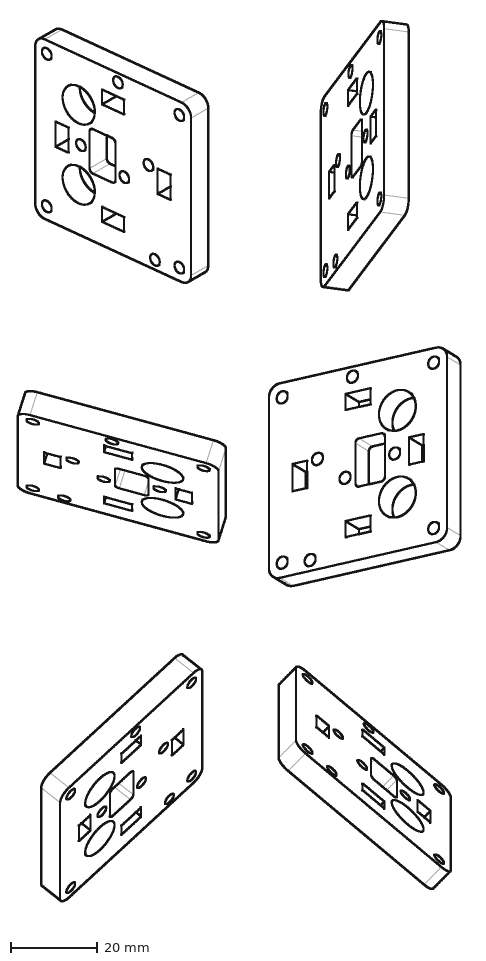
import cadquery as cq

plate_side = 48.5
plate_thickness = 6.0
corner_radius = 3.0

screw_diameter = 3.0
corner_hole_offset = 20.6
corner_holes = [
    (side_x * corner_hole_offset, side_z * corner_hole_offset)
    for side_x in (-1, 1)
    for side_z in (-1, 1)
]
top_edge_hole = (1.5, 21.75)
bottom_edge_hole = (13.0, -21.55)
inner_holes = [(-10.0, 0.2), (3.5, -3.05), (11.0, 3.25)]

port_diameter = 10.0
port_x = -10.7
port_z = 10.8

slot_length = 6.8
slot_width = 4.0
slot_offset = 15.85

window_width = 8.0
window_height = 12.0
window_x = -3.3
window_corner_radius = 1.0


def block(width, height, x=0, z=0):
    """Box through the plate thickness, centred at (x, z)."""
    return cq.Workplane("XY").box(width, plate_thickness, height).translate((x, 0, z))


def rounded_block(width, height, radius, x=0, z=0):
    """Block whose four edges along Y are rounded."""
    return block(width, height, x, z).edges("|Y").fillet(radius)


def cut_round_holes(body, points, diameter):
    """Drill through holes along Y at the given (x, z) points."""
    drills = (
        cq.Workplane("XZ", origin=(0, plate_thickness / 2, 0))
        .pushPoints(points)
        .circle(diameter / 2)
        .extrude(plate_thickness)
    )
    return body.cut(drills)


def cut_slots(body):
    """Cut the four slots, each with its long side parallel to the nearest plate edge."""
    for side in (-1, 1):
        body = body.cut(block(slot_length, slot_width, z=side * slot_offset))
        body = body.cut(block(slot_width, slot_length, x=side * slot_offset))
    return body


plate = rounded_block(plate_side, plate_side, corner_radius)
plate = cut_round_holes(plate, corner_holes + [top_edge_hole, bottom_edge_hole] + inner_holes, screw_diameter)
plate = cut_round_holes(plate, [(port_x, -port_z), (port_x, port_z)], port_diameter)
plate = cut_slots(plate)
plate = plate.cut(rounded_block(window_width, window_height, window_corner_radius, x=window_x))

result = plate